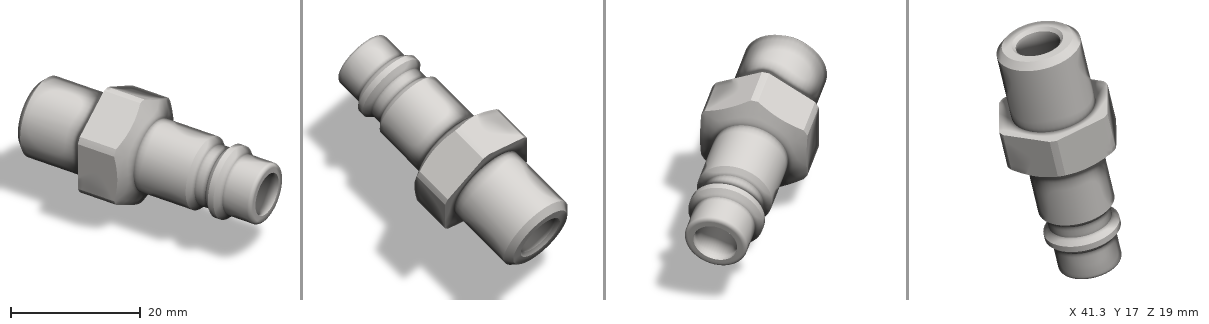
import cadquery as cq
import math

length = 41.3
hex_start = 12.47
cone_start = 18.95
body_end = 30.27
collar_start = 33.25
collar_width = 1.0

thread_diameter = 13.25
body_diameter = 12.0
neck_diameter = 10.0
bore_diameter = 7.02
bore_mouth_diameter = 8.1
hex_across_flats = 17.0
hex_across_corners = 19.0

thread_chamfer = 1.05
tip_fillet = 0.6
cone_slope_angle = 30.0

thread_radius = thread_diameter / 2
body_radius = body_diameter / 2
neck_radius = neck_diameter / 2
corner_radius = hex_across_corners / 2
shoulder = body_radius - neck_radius
cone_length = (corner_radius - body_radius) * math.tan(math.radians(cone_slope_angle))
cone_end = cone_start + cone_length
collar_top = collar_start + shoulder
collar_end = collar_top + collar_width


def revolve_about_x(profile):
    """Turn a closed XY profile a full revolution about the X axis."""
    return profile.close().revolve(360, (0, 0, 0), (1, 0, 0))


def make_thread_end():
    blank = cq.Workplane("YZ").circle(thread_radius).extrude(hex_start)
    return blank.faces("<X").chamfer(thread_chamfer)


def make_hexagon():
    """Hexagon with turned corners and a conical face towards the plug."""
    sharp_diameter = hex_across_flats / math.cos(math.radians(30))
    prism = (
        cq.Workplane("YZ", origin=(hex_start, 0, 0))
        .transformed(rotate=(0, 0, 90))
        .polygon(6, sharp_diameter)
        .extrude(cone_end - hex_start)
    )
    envelope = revolve_about_x(
        cq.Workplane("XY")
        .moveTo(hex_start, 0)
        .lineTo(hex_start, corner_radius)
        .lineTo(cone_start, corner_radius)
        .lineTo(cone_end, body_radius)
        .lineTo(cone_end, 0)
    )
    return prism.intersect(envelope)


def make_plug():
    """Cylindrical body, locking groove, collar and rounded tip."""
    plug = revolve_about_x(
        cq.Workplane("XY")
        .moveTo(hex_start, 0)
        .lineTo(hex_start, body_radius)
        .lineTo(body_end, body_radius)
        .lineTo(body_end + shoulder, neck_radius)
        .lineTo(collar_start, neck_radius)
        .lineTo(collar_top, body_radius)
        .lineTo(collar_end, body_radius)
        .lineTo(collar_end + shoulder, neck_radius)
        .lineTo(length, neck_radius)
        .lineTo(length, 0)
    )
    return plug.faces(">X").edges().fillet(tip_fillet)


def make_bore():
    """Through bore with a 45 degree countersink at the threaded end."""
    bore_radius = bore_diameter / 2
    mouth_radius = bore_mouth_diameter / 2
    return revolve_about_x(
        cq.Workplane("XY")
        .lineTo(0, mouth_radius)
        .lineTo(mouth_radius - bore_radius, bore_radius)
        .lineTo(length, bore_radius)
        .lineTo(length, 0)
    )


result = make_thread_end().union(make_hexagon()).union(make_plug()).cut(make_bore())